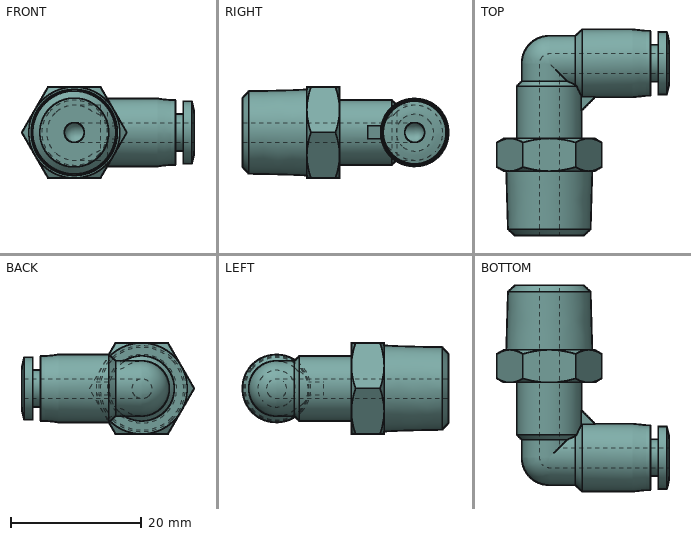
import cadquery as cq
import math

elbow_radius = 4.25

overall_length = 31.75
branch_radius = 5.25
stem_end = branch_radius - overall_length
stem_radius = 5.02
stem_chamfer_start = -2.75
stem_chamfer_end = -3.52

hex_across_flats = 14.0
hex_top = -11.55
hex_height = 5.02
hex_bottom = hex_top - hex_height
hex_chamfer_angle = 30
hex_corner_radius = hex_across_flats / math.sqrt(3)

thread_top_radius = 6.65
thread_bottom_radius = 6.38
thread_end_radius = 5.3
thread_chamfer_height = 1.02

overall_width = 26.55
branch_end = overall_width - hex_corner_radius
branch_cone_start = 4.0
branch_cone_end = 5.08
sleeve_taper_start = 12.83
sleeve_taper_end = 14.85
sleeve_end = 15.62
sleeve_edge = 0.13
sleeve_end_radius = 5.02
neck_radius = 2.85
flange_start = 16.73
flange_radius = 4.83
flange_crown = 0.38
crown_flat_radius = 2.85
crown_middle_radius = 3.97
crown_middle_drop = 0.13

gusset_reach = 2.0
gusset_thickness = 2.0

bore_radius = 1.52


def make_stem():
    """Lower body and tapered thread, revolved about Y."""
    return (
        cq.Workplane("XY")
        .lineTo(elbow_radius, 0)
        .lineTo(elbow_radius, stem_chamfer_start)
        .lineTo(stem_radius, stem_chamfer_end)
        .lineTo(stem_radius, hex_bottom)
        .lineTo(thread_top_radius, hex_bottom)
        .lineTo(thread_bottom_radius, stem_end + thread_chamfer_height)
        .lineTo(thread_end_radius, stem_end)
        .lineTo(0, stem_end)
        .close()
        .revolve(360, (0, 0, 0), (0, 1, 0))
    )


def make_hexagon():
    """Hexagon with corners on the X axis, both faces chamfered to a circle."""
    inner_radius = hex_across_flats / 2
    chamfer_slope = math.tan(math.radians(hex_chamfer_angle))
    chamfer_height = (hex_corner_radius - inner_radius) * chamfer_slope
    prism = (
        cq.Workplane("XZ", origin=(0, hex_top, 0))
        .polygon(6, 2 * hex_corner_radius)
        .extrude(hex_height)
    )
    chamfer_envelope = (
        cq.Workplane("XY")
        .moveTo(0, hex_top)
        .lineTo(inner_radius, hex_top)
        .lineTo(hex_corner_radius, hex_top - chamfer_height)
        .lineTo(hex_corner_radius, hex_bottom + chamfer_height)
        .lineTo(inner_radius, hex_bottom)
        .lineTo(0, hex_bottom)
        .close()
        .revolve(360, (0, 0, 0), (0, 1, 0))
    )
    return prism.intersect(chamfer_envelope)


def make_branch():
    """Branch, sleeve, neck and release flange, revolved about X."""
    return (
        cq.Workplane("XY")
        .lineTo(0, elbow_radius)
        .lineTo(branch_cone_start, elbow_radius)
        .lineTo(branch_cone_end, branch_radius)
        .lineTo(sleeve_taper_start, branch_radius)
        .lineTo(sleeve_taper_end, sleeve_end_radius)
        .lineTo(sleeve_end - sleeve_edge, sleeve_end_radius)
        .lineTo(sleeve_end, sleeve_end_radius - sleeve_edge)
        .lineTo(sleeve_end, neck_radius)
        .lineTo(flange_start, neck_radius)
        .lineTo(flange_start, flange_radius)
        .lineTo(branch_end - flange_crown, flange_radius)
        .threePointArc(
            (branch_end - crown_middle_drop, crown_middle_radius),
            (branch_end, crown_flat_radius),
        )
        .lineTo(branch_end, 0)
        .close()
        .revolve(360, (0, 0, 0), (1, 0, 0))
    )


def make_gusset():
    """Web in the inner corner, its sloping edge at 45 degrees."""
    edge_x = stem_radius + gusset_reach
    edge_y = -branch_radius - gusset_reach
    return (
        cq.Workplane("XY")
        .lineTo(edge_x, 0)
        .lineTo(edge_x, -branch_radius)
        .lineTo(stem_radius, edge_y)
        .lineTo(0, edge_y)
        .close()
        .extrude(gusset_thickness / 2, both=True)
    )


def make_bore():
    """Passage up the stem and out through the branch, rounded at the elbow centre."""
    stem_passage = cq.Workplane("XZ").circle(bore_radius).extrude(-stem_end)
    branch_passage = cq.Workplane("YZ").circle(bore_radius).extrude(branch_end)
    elbow_turn = cq.Workplane("XY").sphere(bore_radius)
    return stem_passage.union(branch_passage).union(elbow_turn)


elbow = cq.Workplane("XY").sphere(elbow_radius)
body = elbow.union(make_stem()).union(make_hexagon()).union(make_branch()).union(make_gusset())
result = body.cut(make_bore())